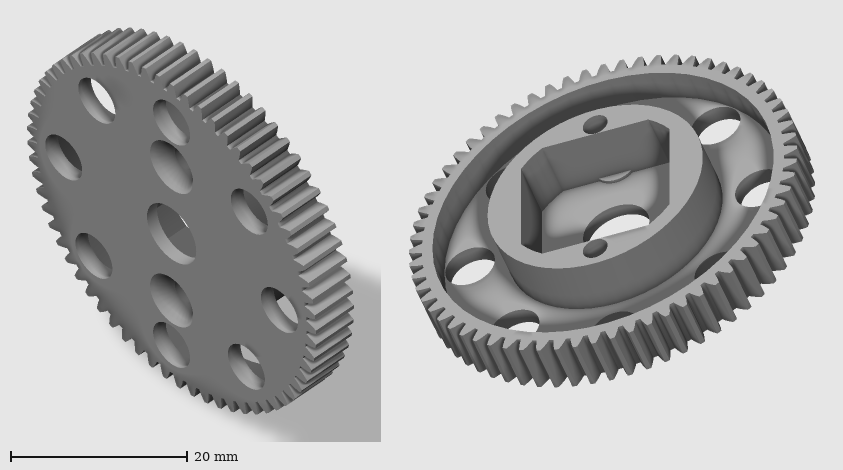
import cadquery as cq
import math

module = 0.7
tooth_count = 65
pressure_angle = math.radians(20)
dedendum_factor = 1.25
pitch_radius = module * tooth_count / 2
tip_radius = pitch_radius + module
root_radius = pitch_radius - dedendum_factor * module
base_radius = pitch_radius * math.cos(pressure_angle)

gear_width = 6.0
web_thickness = 2.0
hub_floor_thickness = 1.6
hub_depth = 8.6
hub_radius = 13.0
rim_inner_radius = 20.6

pocket_width = 17.9
pocket_corner_radius = 11.0

bore_radius = 4.0
lightening_radius = 3.0
lightening_circle_radius = 17.5
diagonal_hole_offset = -1.1
screw_radius = 1.5
screw_head_radius = 3.5
screw_spacing = 21.0
screw_pad_radius = 2.5
screw_heights = (-screw_spacing / 2, screw_spacing / 2)
countersink_depth = screw_head_radius - screw_radius


def front_plane(depth):
    """Sketch plane at the given depth, with local x = X, local y = Z and normal = -Y."""
    return cq.Workplane("XZ", origin=(0, depth, 0))


def disc(radius, start, end):
    """Solid cylinder on the gear axis between two depths."""
    return front_plane(start).circle(radius).extrude(start - end)


def polar(radius, angle):
    """Point on a circle about the gear axis, with the angle in radians from +X."""
    return (radius * math.cos(angle), radius * math.sin(angle))


def involute(angle):
    return math.tan(angle) - angle


def half_tooth_angle(radius):
    """Half the angle that a tooth spans at a radius, for involute flanks."""
    local_pressure_angle = math.acos(base_radius / radius)
    return math.pi / (2 * tooth_count) + involute(pressure_angle) - involute(local_pressure_angle)


def toothed_blank():
    """Full-width gear blank, with each involute flank drawn as one arc."""
    pitch_angle = 2 * math.pi / tooth_count
    root_half = half_tooth_angle(root_radius)
    pitch_half = half_tooth_angle(pitch_radius)
    tip_half = half_tooth_angle(tip_radius)
    first_tooth = math.pi / 2
    outline = front_plane(0).moveTo(*polar(root_radius, first_tooth - root_half))
    for index in range(tooth_count):
        centre = first_tooth + index * pitch_angle
        gap_centre = centre + pitch_angle / 2
        next_tooth = centre + pitch_angle
        outline = (
            outline
            .threePointArc(polar(pitch_radius, centre - pitch_half), polar(tip_radius, centre - tip_half))
            .threePointArc(polar(tip_radius, centre), polar(tip_radius, centre + tip_half))
            .threePointArc(polar(pitch_radius, centre + pitch_half), polar(root_radius, centre + root_half))
            .threePointArc(polar(root_radius, gap_centre), polar(root_radius, next_tooth - root_half))
        )
    return outline.close().extrude(-gear_width)


def hub_pocket():
    """Pocket cutter that leaves a low pad around each countersink, where the floor is too thin."""
    floor = hub_floor_thickness
    square = front_plane(floor).rect(pocket_width, pocket_width).extrude(floor - hub_depth)
    pocket = square.intersect(disc(pocket_corner_radius, floor, hub_depth))
    pads = (
        front_plane(floor)
        .pushPoints([(0, height) for height in screw_heights])
        .circle(screw_pad_radius)
        .extrude(floor - countersink_depth)
    )
    return pocket.cut(pads)


def lightening_holes():
    """Cutters for eight holes: four on the X and Z axes and four between them."""
    centres = []
    for cardinal in (0, 90, 180, 270):
        diagonal = cardinal + 45 + diagonal_hole_offset
        centres.append(polar(lightening_circle_radius, math.radians(cardinal)))
        centres.append(polar(lightening_circle_radius, math.radians(diagonal)))
    return front_plane(0).pushPoints(centres).circle(lightening_radius).extrude(-gear_width)


def screw_hole(height):
    """Through hole at the given Z, countersunk from the front face."""
    profile = [
        (0, 0),
        (screw_head_radius, 0),
        (screw_radius, countersink_depth),
        (screw_radius, hub_depth),
        (0, hub_depth),
    ]
    cutter = cq.Workplane("XY").polyline(profile).close().revolve(360, (0, 0, 0), (0, 1, 0))
    return cutter.translate((0, 0, height))


result = toothed_blank().cut(disc(rim_inner_radius, web_thickness, gear_width))
result = result.union(disc(hub_radius, web_thickness, hub_depth))
result = result.cut(hub_pocket())
result = result.cut(disc(bore_radius, 0, hub_floor_thickness))
result = result.cut(lightening_holes())
for height in screw_heights:
    result = result.cut(screw_hole(height))